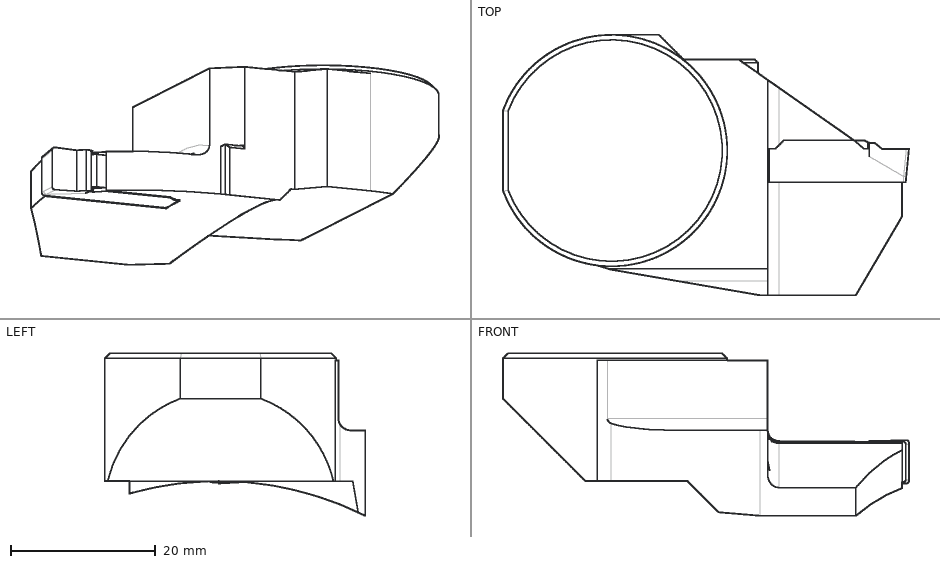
import cadquery as cq
import math


disc_radius = 16.0
disc_flat_x = -15.0
disc_chamfer = 0.7
base_z = -17.67
underside_bevel_start_x = -3.6

block_top_z = -1.0
block_depth = 24.0
rear_y = 12.6
rear_corner_x = 6.54
front_y = -20.0
flank_start = (-1.96, -15.88)
flank_corner = (-0.1, -16.45)
flank_end_x = 20.5
shelf_wall_y = -16.3
shelf_z = -10.65
shelf_fillet = 1.65
foot_start_x = 10.46

clearance_angle = 35.0
ledge_x = 20.26
ledge_top_z = -12.15
ledge_chamfer = 0.5

wall_x = 21.57
wall_fillet = 1.5
blade_end_x = 40.15
blade_corner_y = -9.1
blade_tip_x = 33.75
arc_center_y = 0.22
blade_top_z = -12.12
blade_top_radius = 35.0
blade_bottom_radius = 45.0

insert_rear_x = 21.78
insert_bottom_y = -4.4
insert_top_y = 1.42
insert_mid_z = -15.0
insert_thickness = 5.6
cutting_width = 6.04
cutting_edge_y = 0.22
cutting_edge_x = 41.1
front_relief = 0.45
nose_radius = 0.4
rear_step_x = 22.6
jaw_end_x = 33.5
head_start_x = 35.6
head_shoulder_y = 1.07
back_slope_start_x = 34.9
shoulder_end_x = 36.35
groove_end_x = 37.4
notch_corner_x = 34.9
notch_end_x = 35.4
notch_depth = 0.5
head_span = 10.0
relief_start = (head_start_x, -0.8)
relief_end = (40.18, -3.47)

reach = 60.0


def clearance_y(x):
    """Y of the slanted rear clearance face, which runs down to the jaw end."""
    return insert_top_y + (jaw_end_x - x) * math.tan(math.radians(clearance_angle))


def make_disc():
    disc = cq.Workplane("XY").circle(disc_radius).extrude(base_z)
    keep = cq.Workplane("XY").box(reach, reach, reach).translate((disc_flat_x + reach / 2, 0, 0))
    disc = disc.intersect(keep).faces(">Z").chamfer(disc_chamfer)
    return disc.cut(underside_bevel())


def underside_bevel():
    """Removed 45 degree wedge under the flat side of the disc."""
    return (
        cq.Workplane("XZ", origin=(underside_bevel_start_x, 0, base_z))
        .polyline([(0, 0), (-disc_radius, 0), (-disc_radius, disc_radius)])
        .close()
        .extrude(reach, both=True)
    )


def make_block():
    step = disc_radius - rear_y
    outline = [
        (0, 0),
        (0, disc_radius),
        (rear_corner_x, disc_radius),
        (rear_corner_x + step, rear_y),
        (ledge_x - ledge_chamfer, rear_y),
        (ledge_x, rear_y - ledge_chamfer),
        (ledge_x, clearance_y(ledge_x)),
        (blade_end_x, clearance_y(blade_end_x)),
        (blade_end_x, blade_corner_y),
        (blade_tip_x, front_y),
        (flank_end_x, front_y),
        flank_corner,
        flank_start,
    ]
    return cq.Workplane("XY", origin=(0, 0, block_top_z)).polyline(outline).close().extrude(-block_depth)


def ledge_clearance():
    """Removed volume behind the slanted clearance face, above the ledge."""
    back_x = 2 * wall_x - jaw_end_x
    corners = [
        (back_x, clearance_y(back_x)),
        (jaw_end_x, clearance_y(back_x)),
        (jaw_end_x, clearance_y(jaw_end_x)),
    ]
    return cq.Workplane("XY", origin=(0, 0, ledge_top_z)).polyline(corners).close().extrude(reach)


def ledge_edge_chamfer():
    """Removed strip along the rear top edge of the ledge, starting at the clearance face."""
    edge_start_x = jaw_end_x - (rear_y - insert_top_y) / math.tan(math.radians(clearance_angle))
    return (
        cq.Workplane("YZ", origin=(edge_start_x, rear_y, ledge_top_z))
        .polyline([(-ledge_chamfer, 0), (0, 0), (0, -ledge_chamfer)])
        .close()
        .extrude(reach)
    )


def front_shelf():
    """Removed volume above the front shelf, rounded where the shelf meets its wall."""
    return (
        cq.Workplane("YZ", origin=(flank_start[0], 0, 0))
        .moveTo(shelf_wall_y, 0)
        .lineTo(shelf_wall_y, shelf_z + shelf_fillet)
        .radiusArc((shelf_wall_y - shelf_fillet, shelf_z), shelf_fillet)
        .lineTo(front_y, shelf_z)
        .lineTo(front_y, 0)
        .close()
        .extrude(reach)
    )


def blade_recess():
    """Removed volume above the convex blade, flared by a fillet at the block's end wall."""
    axis_z = blade_top_z - blade_top_radius
    flared_blade = (
        cq.Workplane("XY", origin=(wall_x, arc_center_y, axis_z))
        .lineTo(0, blade_top_radius + wall_fillet)
        .radiusArc((wall_fillet, blade_top_radius), -wall_fillet)
        .lineTo(reach, blade_top_radius)
        .lineTo(reach, 0)
        .close()
        .revolve(360, (0, 0, 0), (1, 0, 0))
    )
    recess = cq.Workplane("XY", origin=(wall_x, 0, axis_z)).box(
        reach, reach, reach, centered=(False, True, False)
    )
    return recess.cut(flared_blade)


def underside_step():
    """Removed volume below the base, behind the 45 degree foot."""
    return (
        cq.Workplane("XZ")
        .moveTo(foot_start_x, base_z)
        .lineTo(foot_start_x + reach, base_z - reach)
        .lineTo(-reach, base_z - reach)
        .lineTo(-reach, base_z)
        .close()
        .extrude(reach, both=True)
    )


def underside_hollow():
    """Concave cylinder along X that hollows the underside of the foot and the blade."""
    return (
        cq.Workplane("YZ", origin=(foot_start_x, arc_center_y, base_z - blade_bottom_radius))
        .circle(blade_bottom_radius)
        .extrude(reach)
    )


def insert_prism(thickness):
    """Insert outline extruded evenly to both sides of the insert's middle plane."""
    step = insert_top_y - cutting_edge_y
    outline = [
        (insert_rear_x, insert_bottom_y),
        (cutting_edge_x - front_relief, insert_bottom_y),
        (cutting_edge_x, cutting_edge_y),
        (groove_end_x, cutting_edge_y),
        (shoulder_end_x, head_shoulder_y),
        (head_start_x, head_shoulder_y),
        (back_slope_start_x, insert_top_y),
        (rear_step_x + step, insert_top_y),
        (rear_step_x, cutting_edge_y),
        (insert_rear_x, cutting_edge_y),
    ]
    return (
        cq.Workplane("XY", origin=(0, 0, insert_mid_z))
        .polyline(outline)
        .close()
        .extrude(thickness / 2, both=True)
    )


def insert_head():
    """Head that widens from the relief line, where it is flush with the body, to the cutting edge."""
    along_x = relief_end[0] - relief_start[0]
    along_y = relief_end[1] - relief_start[1]
    line_length = math.hypot(along_x, along_y)
    uphill = (-along_y / line_length, along_x / line_length)
    edge_distance = (
        (cutting_edge_x - relief_end[0]) * uphill[0] + (cutting_edge_y - relief_end[1]) * uphill[1]
    )
    half_body = insert_thickness / 2
    widening = (cutting_width - insert_thickness) / 2 / edge_distance * head_span
    wedge_plane = cq.Plane(
        origin=(relief_end[0], relief_end[1], insert_mid_z),
        xDir=(uphill[0], uphill[1], 0),
        normal=(uphill[1], -uphill[0], 0),
    )
    wedge = (
        cq.Workplane(wedge_plane)
        .moveTo(-head_span, widening - half_body)
        .lineTo(-head_span, half_body - widening)
        .lineTo(head_span, half_body + widening)
        .lineTo(head_span, -half_body - widening)
        .close()
        .extrude(reach, both=True)
    )
    head_side = cq.Workplane("XY", origin=(head_start_x, 0, insert_mid_z)).box(
        reach, reach, reach, centered=(False, True, True)
    )
    return round_nose(wedge.intersect(head_side).intersect(insert_prism(reach)))


def round_nose(piece):
    """Round the two long corners of the front relief face."""
    return piece.faces(">X").edges("not |Z").edges(">Z or <Z").fillet(nose_radius)


def jaw_notch():
    """Shallow tapered recess on the insert's upper side, between the jaw end and the head."""
    corners = [
        (jaw_end_x, insert_top_y),
        (notch_corner_x, cutting_edge_y),
        (notch_end_x, cutting_edge_y),
        (notch_end_x, insert_top_y),
    ]
    face_z = insert_mid_z + insert_thickness / 2
    return cq.Workplane("XY", origin=(0, 0, face_z - notch_depth)).polyline(corners).close().extrude(reach)


def make_insert():
    body = round_nose(insert_prism(insert_thickness))
    upper_notch = jaw_notch()
    lower_notch = upper_notch.mirror("XY", (0, 0, insert_mid_z))
    return body.union(insert_head()).cut(upper_notch).cut(lower_notch)


def make_holder():
    block = make_block()
    block = block.cut(ledge_clearance()).cut(ledge_edge_chamfer())
    block = block.cut(front_shelf()).cut(blade_recess())
    block = block.cut(underside_step()).cut(underside_hollow())
    seat = insert_prism(reach)
    return block.cut(underside_bevel()).union(make_disc()).cut(seat)


holder = make_holder()
insert = make_insert()
result = cq.Compound.makeCompound([holder.solids().val(), insert.solids().val()])